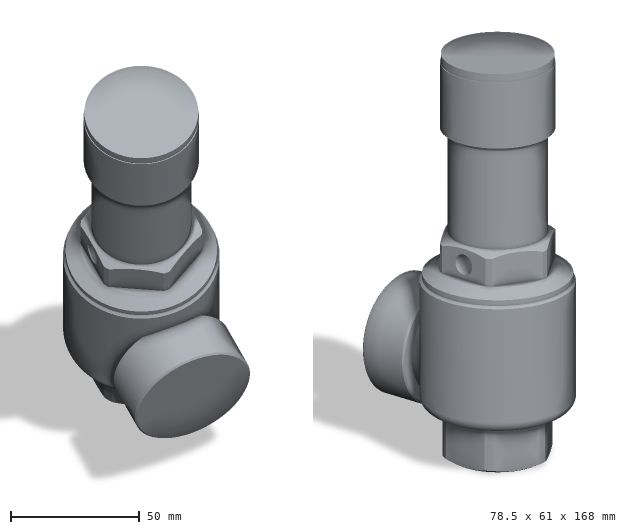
import cadquery as cq
import math

HOUSING_BOTTOM = 20.2
HOUSING_TOP = 73.8
SHOULDER_EDGE = 76.1
BONNET_HEX_BOTTOM = 79.5
BONNET_HEX_TOP = 93.4
STEM_TOP = 134.5
CAP_BOTTOM = 137.0
CAP_STEP = 164.5
CAP_TOP = 168.0

HOUSING_DIAMETER = 61.0
HOUSING_RADIUS = HOUSING_DIAMETER / 2
HOUSING_BOTTOM_FILLET = 5.0
HOUSING_TOP_CHAMFER = 1.0

INLET_HEX_FLATS = 40.3
INLET_HEX_CORNER_RADIUS = 22.3
INLET_END_RADIUS = 19.5
BONNET_HEX_FLATS = 42.2
BONNET_HEX_CORNER_RADIUS = 23.7
HEX_BEVEL_ANGLE = 30.0

OUTLET_HEIGHT = 39.1
OUTLET_NECK_RADIUS = 19.5
OUTLET_RADIUS = 24.7
OUTLET_START = 27.2
OVERALL_LENGTH = 78.5
OUTLET_END = OVERALL_LENGTH - HOUSING_RADIUS
OUTLET_CHAMFER = 0.7

SHOULDER_RADIUS = HOUSING_RADIUS - HOUSING_TOP_CHAMFER
STEM_RADIUS = 19.5
RELIEF_RADIUS = 19.0
CAP_RADIUS = 22.5
CAP_STEP_RADIUS = 22.2
CROSS_HOLE_DIAMETER = 8.4
CROSS_HOLE_HEIGHT = 85.8


def disc(radius, bottom, top):
    """Upright cylinder on the valve axis."""
    return cq.Workplane("XY").workplane(offset=bottom).circle(radius).extrude(top - bottom)


def rounded_hexagon(flats, corner_radius, end_radius, bottom, top):
    """Hexagonal prism with rounded corners and a conical bevel at its top end.

    Two flats face -Y and +Y.
    """
    bevel_height = (corner_radius - end_radius) * math.tan(math.radians(HEX_BEVEL_ANGLE))
    across_corners = flats / math.cos(math.pi / 6)
    prism = cq.Workplane("XY").workplane(offset=bottom).polygon(6, across_corners).extrude(top - bottom)
    envelope = (
        cq.Workplane("XZ")
        .moveTo(0, bottom)
        .lineTo(corner_radius, bottom)
        .lineTo(corner_radius, top - bevel_height)
        .lineTo(end_radius, top)
        .lineTo(0, top)
        .close()
        .revolve(360, (0, 0, 0), (0, 1, 0))
    )
    return prism.intersect(envelope)


def make_inlet():
    """Inlet hexagon, with its bevelled end turned to face down."""
    hexagon = rounded_hexagon(
        INLET_HEX_FLATS, INLET_HEX_CORNER_RADIUS, INLET_END_RADIUS, -HOUSING_BOTTOM, 0
    )
    return hexagon.rotate((0, 0, 0), (1, 0, 0), 180)


def make_outlet():
    """Outlet neck and the larger collar at its end."""
    axis_plane = cq.Workplane("YZ").center(0, OUTLET_HEIGHT)
    neck = axis_plane.circle(OUTLET_NECK_RADIUS).extrude(OUTLET_END)
    collar = (
        cq.Workplane("YZ", origin=(OUTLET_START, 0, OUTLET_HEIGHT))
        .circle(OUTLET_RADIUS)
        .extrude(OUTLET_END - OUTLET_START)
        .edges()
        .chamfer(OUTLET_CHAMFER)
    )
    return neck.union(collar)


def make_housing():
    """Housing barrel with the inlet hexagon below and the outlet on its side."""
    barrel = disc(HOUSING_RADIUS, HOUSING_BOTTOM, HOUSING_TOP)
    barrel = barrel.faces("<Z").edges().fillet(HOUSING_BOTTOM_FILLET)
    barrel = barrel.faces(">Z").edges().chamfer(HOUSING_TOP_CHAMFER)
    return barrel.union(make_inlet()).union(make_outlet())


def make_bonnet():
    """Shoulder, hexagon, stem and cap, with a cross hole through the hexagon."""
    turned = (
        cq.Workplane("XZ")
        .moveTo(0, HOUSING_TOP)
        .lineTo(SHOULDER_RADIUS, HOUSING_TOP)
        .lineTo(SHOULDER_RADIUS, SHOULDER_EDGE)
        .lineTo(BONNET_HEX_CORNER_RADIUS, BONNET_HEX_BOTTOM)
        .lineTo(STEM_RADIUS, BONNET_HEX_BOTTOM)
        .lineTo(STEM_RADIUS, STEM_TOP)
        .lineTo(RELIEF_RADIUS, STEM_TOP)
        .lineTo(RELIEF_RADIUS, CAP_BOTTOM)
        .lineTo(CAP_RADIUS, CAP_BOTTOM)
        .lineTo(CAP_RADIUS, CAP_STEP)
        .lineTo(CAP_STEP_RADIUS, CAP_STEP)
        .lineTo(CAP_STEP_RADIUS, CAP_TOP)
        .lineTo(0, CAP_TOP)
        .close()
        .revolve(360, (0, 0, 0), (0, 1, 0))
    )
    hexagon = rounded_hexagon(
        BONNET_HEX_FLATS,
        BONNET_HEX_CORNER_RADIUS,
        STEM_RADIUS,
        BONNET_HEX_BOTTOM,
        BONNET_HEX_TOP,
    )
    cross_hole = (
        cq.Workplane("XZ", origin=(0, 0, CROSS_HOLE_HEIGHT))
        .circle(CROSS_HOLE_DIAMETER / 2)
        .extrude(BONNET_HEX_FLATS, both=True)
    )
    return turned.union(hexagon).cut(cross_hole)


housing = make_housing()
bonnet = make_bonnet()
result = cq.Compound.makeCompound([housing.solids().val(), bonnet.solids().val()])